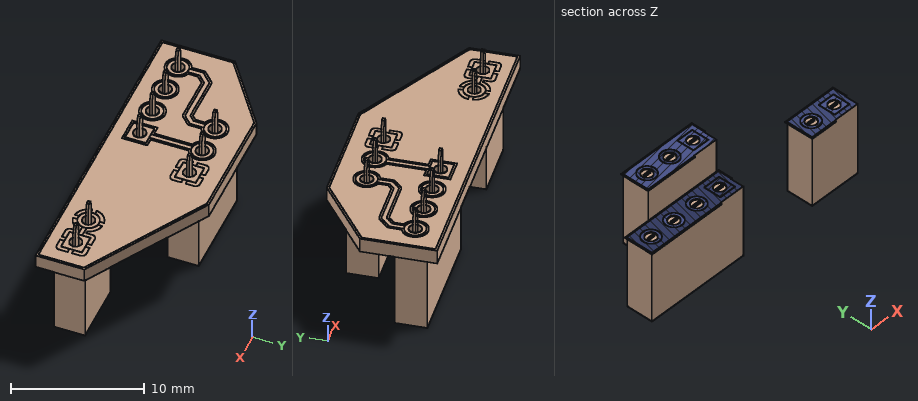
import cadquery as cq
import math

board_length = 25.0
board_width = 10.0
left_side_height = 6.0
right_side_height = 3.98
top_edge_start = 5.52
top_edge_end = 15.0
substrate_thickness = 1.2

copper_thickness = 0.012
plane_inset = 0.18
plane_corner_radius = 0.12
pad_rise = 0.02
pad_depth_below = 0.12
pad_size = 1.7
hole_diameter = 1.0
plating_wall = 0.012
isolation_gap = 0.18
thermal_gap = 0.35
spoke_width = 0.35
trace_width = 0.38
copper_top = substrate_thickness + copper_thickness
pad_top = copper_top + pad_rise

first_pin_x = 2.22
first_pin_y = 2.28
grid_span = 17.78
grid_steps = 7
pitch = grid_span / grid_steps

overall_height = 10.1
socket_height = 7.0
socket_width = pitch
pin_width = 0.62
pin_thickness = 0.2
pin_tip_height = 0.62
pin_tip_width = 0.3
pin_tip_z = overall_height - socket_height

frame_line = 0.12
frame_depth = 0.1

sockets = [(0, 0, 4), (2, 2, 3), (7, 0, 2)]
square_pads = [(first + count - 1, row) for first, row, count in sockets]
ground_pads = [(4, 2), (7, 0), (8, 0)]
all_pads = [(first + i, row) for first, row, count in sockets for i in range(count)]


def grid_point(cell):
    column, row = cell
    return (first_pin_x + column * pitch, first_pin_y + row * pitch)


def block(x_min, x_max, y_min, y_max, z_min, z_max):
    size = (x_max - x_min, y_max - y_min, z_max - z_min)
    return cq.Workplane("XY").box(*size, centered=False).translate((x_min, y_min, z_min))


def disc(center, diameter, z_min, z_max):
    circle = cq.Workplane("XY").workplane(offset=z_min).center(*center).circle(diameter / 2)
    return circle.extrude(z_max - z_min)


def pad_shape(cell, growth, z_min, z_max, corner_radius=0.0):
    """Round or square pad outline, grown on every side, between two heights."""
    size = pad_size + 2 * growth
    if cell not in square_pads:
        return disc(grid_point(cell), size, z_min, z_max)
    square = cq.Workplane("XY").workplane(offset=z_min).center(*grid_point(cell)).rect(size, size)
    square = square.extrude(z_max - z_min)
    return square.edges("|Z").fillet(corner_radius) if corner_radius else square


def trace_strip(points, width, z_min, z_max):
    """Strip of constant width with round joints along a polyline."""
    strip = disc(points[0], width, z_min, z_max)
    for (x1, y1), (x2, y2) in zip(points, points[1:]):
        length = math.hypot(x2 - x1, y2 - y1)
        angle = math.degrees(math.atan2(y2 - y1, x2 - x1))
        segment = (
            cq.Workplane("XY")
            .slot2D(length + width, width)
            .extrude(z_max - z_min)
            .rotate((0, 0, 0), (0, 0, 1), angle)
            .translate(((x1 + x2) / 2, (y1 + y2) / 2, z_min))
        )
        strip = strip.union(segment)
    return strip


upper_bend = 0.55
lower_bend = 0.72
run_y = 4.9
cross_start = grid_point((2, 2))
cross_end = grid_point((0, 0))
cross_route = [
    cross_start,
    (cross_start[0], run_y + upper_bend),
    (cross_start[0] - upper_bend, run_y),
    (cross_end[0] + lower_bend, run_y),
    (cross_end[0], run_y - lower_bend),
    cross_end,
]
straight_route = [grid_point((3, 2)), grid_point((3, 0))]
islands = [
    ([(0, 0), (2, 2)], cross_route),
    ([(3, 0), (3, 2)], straight_route),
    ([(1, 0)], None),
    ([(2, 0)], None),
]
ground_link = [grid_point((7, 0)), grid_point((8, 0))]


def outline():
    """Board profile: a rectangle with both upper corners cut off at a slant."""
    return cq.Workplane("XY").polyline([
        (0, 0),
        (board_length, 0),
        (board_length, right_side_height),
        (top_edge_end, board_width),
        (top_edge_start, board_width),
        (0, left_side_height),
    ]).close()


def ground_plane():
    """Thin copper layer with gaps around the islands and spokes to the ground pads."""
    plane = outline().offset2D(-plane_inset).extrude(copper_thickness)
    plane = plane.edges("|Z").fillet(plane_corner_radius).translate((0, 0, substrate_thickness))
    layer = (substrate_thickness, copper_top)
    moat_width = trace_width + 2 * isolation_gap
    for cells, route in islands:
        for cell in cells:
            plane = plane.cut(pad_shape(cell, isolation_gap, *layer))
        if route:
            plane = plane.cut(trace_strip(route, moat_width, *layer))
    for cell in ground_pads:
        plane = plane.cut(pad_shape(cell, thermal_gap, *layer, corner_radius=thermal_gap))
    plane = plane.cut(trace_strip(ground_link, moat_width, *layer))
    plane = plane.union(trace_strip(ground_link, spoke_width, *layer))
    reach = pad_size / 2 + thermal_gap
    half = spoke_width / 2
    for cell in ground_pads:
        x, y = grid_point(cell)
        plane = plane.union(block(x - reach, x + reach, y - half, y + half, *layer))
        plane = plane.union(block(x - half, x + half, y - reach, y + reach, *layer))
    return plane


def socket_frame(first, row, count):
    """Line around the socket; it skips half of pin 1's end and its -Y side."""
    x, y = grid_point((first, row))
    half = socket_width / 2
    outer = half + frame_line
    x_min = x - half
    x_max = x_min + count * pitch
    depth = (-frame_depth, 0)
    frame = block(x_min - frame_line, x_max + frame_line, y - outer, y + outer, *depth)
    frame = frame.cut(block(x_min, x_max, y - half, y + half, *depth))
    return frame.cut(block(x_max - pitch, x_max + frame_line, y - outer, y, *depth))


def make_board():
    board = outline().extrude(substrate_thickness).union(ground_plane())
    for cell in ground_pads:
        board = board.union(pad_shape(cell, 0, -pad_depth_below, pad_top))
    for socket in sockets:
        board = board.union(socket_frame(*socket))
    for cell in all_pads:
        bore = hole_diameter if cell in ground_pads else hole_diameter + 2 * plating_wall
        board = board.cut(disc(grid_point(cell), bore, -pad_depth_below, pad_top))
    return board


def make_island(cells, route):
    barrel_diameter = hole_diameter + 2 * plating_wall
    parts = []
    for cell in cells:
        parts.append(pad_shape(cell, 0, substrate_thickness, pad_top))
        parts.append(pad_shape(cell, 0, -pad_depth_below, 0))
        parts.append(disc(grid_point(cell), barrel_diameter, -pad_depth_below, pad_top))
    if route:
        parts.append(trace_strip(route, trace_width, substrate_thickness, copper_top))
    island = parts[0]
    for piece in parts[1:]:
        island = island.union(piece)
    for cell in cells:
        island = island.cut(disc(grid_point(cell), hole_diameter, -pad_depth_below, pad_top))
    return island


def make_pin(cell):
    """Flat blade with a tapered tip."""
    x, y = grid_point(cell)
    shoulder_z = pin_tip_z - pin_tip_height
    half_width = pin_width / 2
    half_tip = pin_tip_width / 2
    blade = cq.Workplane("XZ").polyline([
        (-half_width, -pad_depth_below),
        (half_width, -pad_depth_below),
        (half_width, shoulder_z),
        (half_tip, pin_tip_z),
        (-half_tip, pin_tip_z),
        (-half_width, shoulder_z),
    ]).close()
    return blade.extrude(pin_thickness / 2, both=True).translate((x, y, 0))


def make_socket(first, row, count):
    x, y = grid_point((first, row))
    half = socket_width / 2
    x_min = x - half
    socket = block(x_min, x_min + count * pitch, y - half, y + half, -socket_height, 0)
    for i in range(count):
        cell = (first + i, row)
        socket = socket.cut(pad_shape(cell, 0, -pad_depth_below, 0))
        socket = socket.union(make_pin(cell))
    return socket


board = make_board()
copper_islands = [make_island(cells, route) for cells, route in islands]
socket_bodies = [make_socket(*socket) for socket in sockets]

result = cq.Compound.makeCompound([
    board.val(),
    *[island.val() for island in copper_islands],
    *[socket.val() for socket in socket_bodies],
])